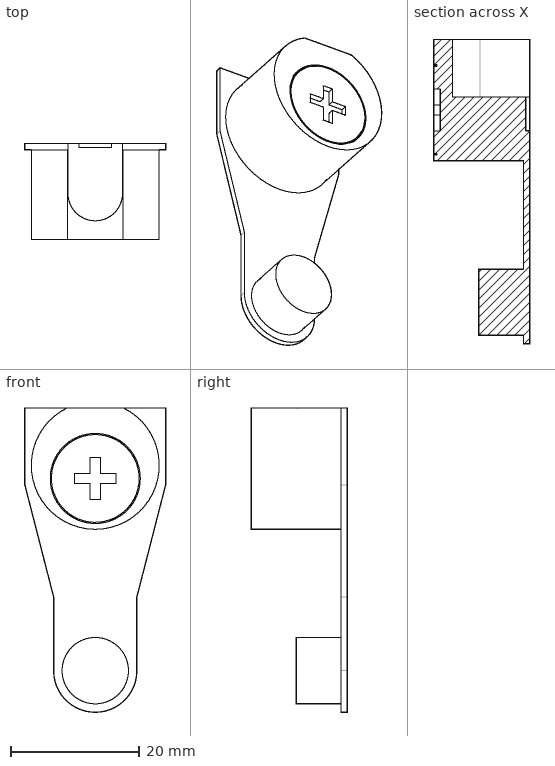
import cadquery as cq

total_height = 47.5
plate_thickness = 1.0
head_width = 22.0
tail_width = 13.0
taper_top_z = -12.0
taper_bottom_z = -29.5
tail_radius = tail_width / 2
tail_center_z = tail_radius - total_height

overall_depth = 15.0
housing_radius = 9.98
housing_center_z = -9.0

slot_width = 8.5
slot_reach = 12.05
slot_floor_z = -9.0

screw_center_z = -11.0
screw_radius = 6.85
groove_width = 0.2
groove_depth = 0.48
cross_length = 6.5
cross_arm_width = 1.6
cross_depth = 1.0

back_recess_radius = 3.25
back_recess_depth = 0.6

pin_radius = 5.2
pin_length = 7.0


def front_plane(y, z):
    """Plane at (0, y, z), with its normal along -Y."""
    return cq.Workplane("XZ", origin=(0, y, z))


def make_plate():
    return (
        front_plane(0, 0)
        .moveTo(-head_width / 2, 0)
        .lineTo(head_width / 2, 0)
        .lineTo(head_width / 2, taper_top_z)
        .lineTo(tail_radius, taper_bottom_z)
        .lineTo(tail_radius, tail_center_z)
        .threePointArc((0, -total_height), (-tail_radius, tail_center_z))
        .lineTo(-tail_radius, taper_bottom_z)
        .lineTo(-head_width / 2, taper_top_z)
        .close()
        .extrude(plate_thickness)
    )


def make_housing():
    cylinder = front_plane(0, housing_center_z).circle(housing_radius).extrude(overall_depth)
    below_top_edge = cq.Workplane("XY").rect(head_width, 2 * overall_depth).extrude(-total_height)
    return cylinder.intersect(below_top_edge)


def make_pin():
    return front_plane(0, tail_center_z).circle(pin_radius).extrude(plate_thickness + pin_length)


def make_slot():
    end_radius = slot_width / 2
    end_center_y = end_radius - slot_reach
    return (
        cq.Workplane("XY")
        .moveTo(-end_radius, 0)
        .lineTo(-end_radius, end_center_y)
        .threePointArc((0, -slot_reach), (end_radius, end_center_y))
        .lineTo(end_radius, 0)
        .close()
        .extrude(slot_floor_z)
    )


def make_screw_groove():
    return (
        front_plane(-overall_depth, screw_center_z)
        .circle(screw_radius + groove_width)
        .circle(screw_radius)
        .extrude(-groove_depth)
    )


def make_cross_recess():
    face = front_plane(-overall_depth, screw_center_z)
    across = face.rect(cross_length, cross_arm_width).extrude(-cross_depth)
    upright = face.rect(cross_arm_width, cross_length).extrude(-cross_depth)
    return across.union(upright)


def make_back_recess():
    return front_plane(0, screw_center_z).circle(back_recess_radius).extrude(back_recess_depth)


result = make_plate().union(make_housing()).union(make_pin())
for cutter in (make_slot(), make_screw_groove(), make_cross_recess(), make_back_recess()):
    result = result.cut(cutter)